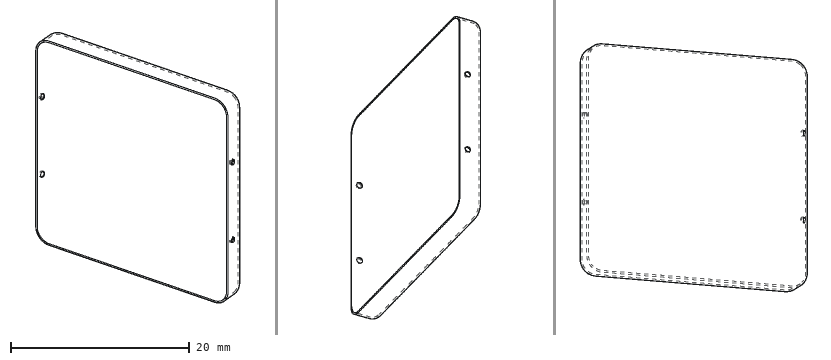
import cadquery as cq

side = 26.3
depth = 3.0
wall = 0.2
corner_radius = 1.85
edge_radius = 1.0
dimple_radius = 0.32
bump_radius = 0.42
dimple_spacing = 10.0
dimple_from_rim = 1.0


def rounded_block(width, front, back, vertical_radius, back_radius):
    """Square block from y=front to y=back with rounded corners and back edge."""
    block = cq.Workplane("XY").box(width, back - front, width)
    block = block.translate((0, (front + back) / 2, 0))
    return block.edges("|Y").fillet(vertical_radius).faces(">Y").edges().fillet(back_radius)


rim = -depth / 2
back = depth / 2

envelope = rounded_block(side, rim, back, corner_radius, edge_radius)
cavity = rounded_block(side - 2 * wall, rim, back - wall, corner_radius - wall, edge_radius - wall)


def domes(radius):
    """Four hemispheres based on the outer faces of the X side walls, pointing inward."""
    dome_y = rim + dimple_from_rim
    quarter = (
        cq.Workplane("XY", origin=(-side / 2, dome_y, 0))
        .lineTo(radius, 0)
        .radiusArc((0, radius), -radius)
        .close()
    )
    dome = quarter.revolve(360, (0, 0), (1, 0))
    upper = dome.translate((0, 0, dimple_spacing / 2))
    lower = dome.translate((0, 0, -dimple_spacing / 2))
    pair = upper.add(lower).combine()
    return pair.union(pair.mirror("YZ"))


result = envelope.cut(cavity).union(domes(bump_radius)).cut(domes(dimple_radius))